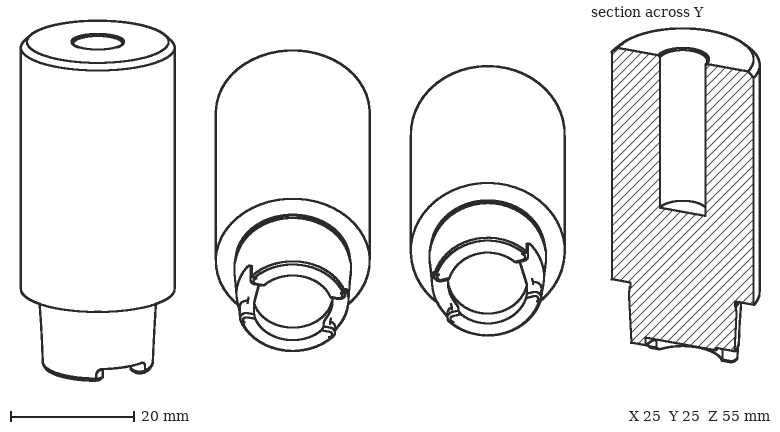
import cadquery as cq
import math

total_height = 55.0
body_radius = 25.0 / 2
body_chamfer = 1.0
shoulder_z = 12.9

neck_radius = 18.65 / 2
neck_bottom_z = 12.05
neck_relief = 0.1
land_radius = 19.0 / 2
land_top_z = 11.1
land_bottom_z = 10.6
foot_radius = 17.95 / 2
foot_chamfer_height = 0.5
foot_chamfer_width = 0.3

bore_radius = 8.0 / 2
bore_depth = 27.5
bore_chamfer = 0.3
cavity_radius = 13.0 / 2
cavity_depth = 3.45

tall_slot_height = 3.9
low_slot_height = 2.1
slot_half_width = 2.94
slot_lip_radius = 1.05
slot_corner_radius = 0.65
slot_foot_chamfer = 0.5
slot_mouth_corner_radius = 1.0
slot_outer_x = body_radius
slot_inner_x = math.sqrt(cavity_radius**2 - slot_half_width**2)


def make_body():
    """Revolve the outside profile of the body and spigot."""
    profile = [
        (0, 0),
        (foot_radius - foot_chamfer_width, 0),
        (foot_radius, foot_chamfer_height),
        (land_radius, land_bottom_z),
        (land_radius, land_top_z),
        (neck_radius, neck_bottom_z),
        (neck_radius - neck_relief, neck_bottom_z + neck_relief),
        (neck_radius - neck_relief, shoulder_z - neck_relief),
        (neck_radius, shoulder_z),
        (body_radius, shoulder_z),
        (body_radius, total_height - body_chamfer),
        (body_radius - body_chamfer, total_height),
        (0, total_height),
    ]
    return cq.Workplane("XZ").polyline(profile).close().revolve(360, (0, 0), (0, 1))


def make_bore():
    """Blind bore from the top, with a chamfered rim."""
    rim_radius = bore_radius + bore_chamfer
    profile = [
        (0, total_height - bore_depth),
        (bore_radius, total_height - bore_depth),
        (bore_radius, total_height - bore_chamfer),
        (rim_radius, total_height),
        (0, total_height),
    ]
    return cq.Workplane("XZ").polyline(profile).close().revolve(360, (0, 0), (0, 1))


def make_slot_block(half_width, inner_x, height, corner_radius):
    """Block from inner_x out past the skirt, with its two upper edges rounded."""
    length = slot_outer_x - inner_x
    return (
        cq.Workplane("XY")
        .box(length, 2 * half_width, height, centered=(False, True, False))
        .edges("|X and >Z")
        .fillet(corner_radius)
        .translate((inner_x, 0, 0))
    )


def make_slot(height, side):
    """Slot cutter with rounded lips at its mouth; side is -1 for -X and +1 for +X."""
    lip_y = slot_half_width + slot_lip_radius
    lip_distance = foot_radius - slot_lip_radius
    lip_x = math.sqrt(lip_distance**2 - lip_y**2)
    mouth_half_width = lip_y * foot_radius / lip_distance
    lips = (
        cq.Workplane("XY")
        .pushPoints([(lip_x, -lip_y), (lip_x, lip_y)])
        .circle(slot_lip_radius)
        .extrude(height)
        .faces("<Z")
        .chamfer(slot_foot_chamfer)
    )
    mouth = make_slot_block(mouth_half_width, lip_x, height, slot_mouth_corner_radius).cut(lips)
    cutter = make_slot_block(slot_half_width, slot_inner_x, height, slot_corner_radius).union(mouth)

    foot_half_width = slot_half_width + slot_foot_chamfer
    foot_flare = (
        cq.Workplane("YZ")
        .moveTo(-foot_half_width, 0)
        .lineTo(foot_half_width, 0)
        .lineTo(slot_half_width, slot_foot_chamfer)
        .lineTo(-slot_half_width, slot_foot_chamfer)
        .close()
        .extrude(lip_x)
    )
    cutter = cutter.union(foot_flare)
    if side < 0:
        cutter = cutter.rotate((0, 0, 0), (0, 0, 1), 180)
    return cutter


cavity = cq.Workplane("XY").circle(cavity_radius).extrude(cavity_depth)

result = make_body().cut(make_bore()).cut(cavity)
for slot_height, slot_side in ((tall_slot_height, -1), (low_slot_height, 1)):
    result = result.cut(make_slot(slot_height, slot_side))